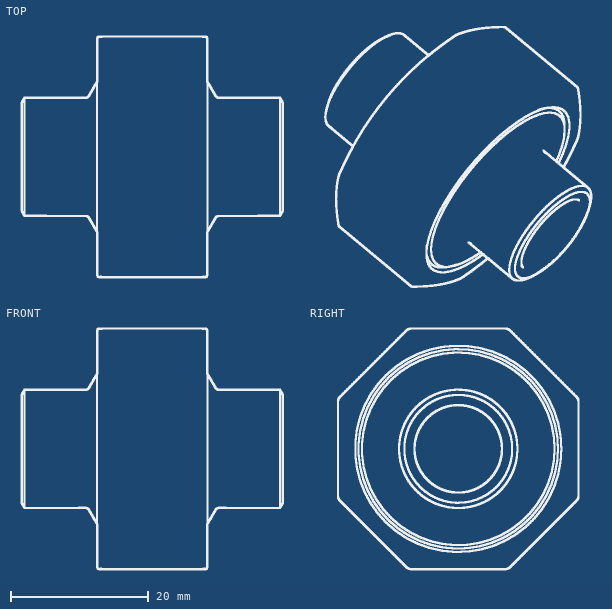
import cadquery as cq
import math

overall_length = 38.0

nut_across_flats = 35.0
nut_width = 16.0
nut_sides = 8
nut_corner_radius = 1.0
nut_face_diameter = 34.43
nut_turning_angle = 20.0
nut_rim_radius = 0.25
nut_mouth_diameter = 30.0

flange_face_diameter = 28.0
flange_diameter = (nut_mouth_diameter + flange_face_diameter) / 2
tube_diameter = 17.2
bore_diameter = 12.7
hub_diameter = 21.95
hub_angle = 60.0
hub_fillet_radius = 0.5
weld_bevel_height = 0.75
weld_bevel_angle = 30.0
bore_lip_radius = 0.25

end_x = overall_length / 2
face_x = nut_width / 2
flange_radius = flange_diameter / 2
tube_radius = tube_diameter / 2
bore_radius = bore_diameter / 2


def revolve_about_x(profile):
    """Turn a closed (x, radius) profile into a solid of revolution about X."""
    return profile.revolve(360, (0, 0, 0), (1, 0, 0))


def ring_edges(body, x, radius):
    """Circular edges around the X axis at the given position and radius."""
    tolerance = 0.005
    return [
        edge
        for edge in body.edges("%CIRCLE").vals()
        if abs(edge.Center().x - x) < tolerance and abs(edge.radius() - radius) < tolerance
    ]


def make_nut():
    across_corners = nut_across_flats / math.cos(math.pi / nut_sides)
    prism = (
        cq.Workplane("YZ")
        .transformed(rotate=(0, 0, 180 / nut_sides))
        .polygon(nut_sides, across_corners)
        .extrude(face_x, both=True)
        .edges("|X")
        .fillet(nut_corner_radius)
    )

    envelope_radius = across_corners / 2
    turning_depth = (envelope_radius - nut_face_diameter / 2) * math.tan(math.radians(nut_turning_angle))
    envelope = revolve_about_x(
        cq.Workplane("XY")
        .moveTo(-face_x, 0)
        .lineTo(-face_x, nut_face_diameter / 2)
        .lineTo(-face_x + turning_depth, envelope_radius)
        .lineTo(face_x - turning_depth, envelope_radius)
        .lineTo(face_x, nut_face_diameter / 2)
        .lineTo(face_x, 0)
        .close()
    )
    blank = prism.intersect(envelope)

    rims = blank.faces("%CONE").edges("not %LINE")
    blank = rims.fillet(nut_rim_radius)

    bore_chamfer = (nut_mouth_diameter - flange_diameter) / 2
    bore = revolve_about_x(
        cq.Workplane("XY")
        .moveTo(-face_x, 0)
        .lineTo(-face_x, nut_mouth_diameter / 2)
        .lineTo(-face_x + bore_chamfer, flange_radius)
        .lineTo(face_x - bore_chamfer, flange_radius)
        .lineTo(face_x, nut_mouth_diameter / 2)
        .lineTo(face_x, 0)
        .close()
    )
    return blank.cut(bore)


def make_tailpiece(side):
    """Flange, cone and tube on one side of the midplane; side is -1 or +1 along X."""
    flange_chamfer = (flange_diameter - flange_face_diameter) / 2
    hub_length = (hub_diameter - tube_diameter) / 2 / math.tan(math.radians(hub_angle))
    tube_start_x = face_x + hub_length
    weld_bevel_length = weld_bevel_height * math.tan(math.radians(weld_bevel_angle))

    body = revolve_about_x(
        cq.Workplane("XY")
        .moveTo(0, bore_radius)
        .lineTo(0, flange_radius)
        .lineTo(side * (face_x - flange_chamfer), flange_radius)
        .lineTo(side * face_x, flange_face_diameter / 2)
        .lineTo(side * face_x, hub_diameter / 2)
        .lineTo(side * tube_start_x, tube_radius)
        .lineTo(side * (end_x - weld_bevel_length), tube_radius)
        .lineTo(side * end_x, tube_radius - weld_bevel_height)
        .lineTo(side * end_x, bore_radius)
        .close()
    )

    hub_base = ring_edges(body, side * face_x, hub_diameter / 2)
    hub_top = ring_edges(body, side * tube_start_x, tube_radius)
    body = body.newObject(hub_base + hub_top).fillet(hub_fillet_radius)

    bore_lip = ring_edges(body, side * end_x, bore_radius)
    return body.newObject(bore_lip).fillet(bore_lip_radius)


nut = make_nut()
tailpieces = [make_tailpiece(side).val() for side in (-1, 1)]

result = cq.Compound.makeCompound([nut.val(), *tailpieces])